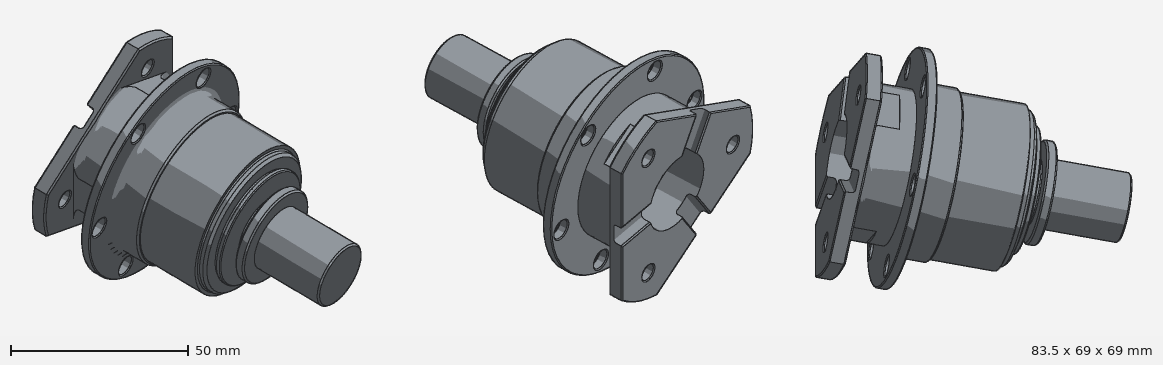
import cadquery as cq
import math

PLATE_BACK = 4.85
FLAT_END = 12.9
FLANGE_FACE = 17.6
FLANGE_BACK = 20.7
COLLAR_END = 30.7
BARREL_END = 50.3
SEAT_END = 52.7
LIP_START = 53.6
HOUSING_END = 54.95
RING_START = 57.45
RING_END = 60.5
SHAFT_END = 83.5

FLANGE_R = 69.0 / 2
PLATE_R = FLANGE_R
NECK_R = 45.0 / 2
COLLAR_R = 50.0 / 2
BARREL_R = 48.0 / 2
SEAT_R = 45.0 / 2
LIP_GROOVE_R = 35.8 / 2
LIP_R = 37.0 / 2
SHAFT_R = 20.0 / 2
RING_R = 30.0 / 2

SMALL_CHAMFER = 0.3
EDGE_CHAMFER = 0.5
COLLAR_CHAMFER = 0.6
SEAT_CHAMFER = 0.8
SEAT_CORNER = 0.4
NECK_FILLET = 2.0
COLLAR_FILLET = 1.9
SHAFT_RELIEF = 0.5

SIDES = 3
PLATE_FLAT_DISTANCE = 24.5
REAR_CHAMFER_REACH = 0.8
NECK_FLAT_DISTANCE = 21.5
BORE_R = 12.2
BORE_DEPTH = 12.7
SLOT_HALF_WIDTH = 3.4
SLOT_DEPTH = 3.0
SLOT_FLOOR_FILLET = 1.1
SLOT_MOUTH_CHAMFER = 0.4
PLATE_HOLE_CIRCLE_R = 25.3
PLATE_HOLE_R = 2.6

FLANGE_HOLES = 6
FLANGE_HOLE_CIRCLE_R = 30.1
FLANGE_HOLE_R = 3.0
FLANGE_HOLE_START_ANGLE = 6.3

CLEARANCE = 1.7
CUTTER_WIDTH = 2 * PLATE_R
ARC_MID = 1 - math.sqrt(0.5)


def turn(profile):
    """Revolve a closed (x, radius) profile about the X axis."""
    return profile.close().revolve(360, (0, 0, 0), (1, 0, 0))


def spin(body, angle):
    """Turn a cutter about the X axis; angles run from -Y (0 degrees) toward +Z (90 degrees)."""
    return body.rotate((0, 0, 0), (1, 0, 0), -angle)


def axial_cylinder(x_start, x_end, radius):
    return cq.Workplane("YZ", origin=(x_start, 0, 0)).circle(radius).extrude(x_end - x_start)


def countersunk_cutter(x_start, x_end, hole_radius, circle_radius, angle):
    """Through hole with a small countersink at both ends."""
    mouth = hole_radius + SMALL_CHAMFER
    profile = cq.Workplane("XY").polyline([
        (x_start, 0),
        (x_start, mouth),
        (x_start + SMALL_CHAMFER, hole_radius),
        (x_end - SMALL_CHAMFER, hole_radius),
        (x_end, mouth),
        (x_end, 0),
    ])
    return spin(turn(profile).translate((0, -circle_radius, 0)), angle)


def plate_flat_cutter(angle):
    """Trim one side of the plate flat, with chamfers; the rear one runs on into the neck fillet."""
    outside = PLATE_R + CLEARANCE
    rear_chamfer_start = PLATE_BACK - EDGE_CHAMFER
    profile = cq.Workplane("XY").polyline([
        (0, -outside),
        (0, -PLATE_FLAT_DISTANCE + SMALL_CHAMFER),
        (SMALL_CHAMFER, -PLATE_FLAT_DISTANCE),
        (rear_chamfer_start, -PLATE_FLAT_DISTANCE),
        (rear_chamfer_start + REAR_CHAMFER_REACH, -PLATE_FLAT_DISTANCE + REAR_CHAMFER_REACH),
        (rear_chamfer_start + REAR_CHAMFER_REACH, -outside),
    ]).close()
    return spin(profile.extrude(CUTTER_WIDTH / 2, both=True), angle)


def slot_cutter(angle):
    """Radial slot with chamfered mouth and rounded floor corners."""
    wall = SLOT_HALF_WIDTH
    mouth = wall + SLOT_MOUTH_CHAMFER
    floor = wall - SLOT_FLOOR_FILLET
    wall_end = SLOT_DEPTH - SLOT_FLOOR_FILLET
    arc_x = SLOT_DEPTH - SLOT_FLOOR_FILLET * ARC_MID
    arc_z = wall - SLOT_FLOOR_FILLET * ARC_MID
    profile = (
        cq.Workplane("XZ")
        .moveTo(0, mouth)
        .lineTo(SLOT_MOUTH_CHAMFER, wall)
        .lineTo(wall_end, wall)
        .threePointArc((arc_x, arc_z), (SLOT_DEPTH, floor))
        .lineTo(SLOT_DEPTH, -floor)
        .threePointArc((arc_x, -arc_z), (wall_end, -wall))
        .lineTo(SLOT_MOUTH_CHAMFER, -wall)
        .lineTo(0, -mouth)
        .close()
    )
    return spin(profile.extrude(PLATE_R), angle)


def neck_flat_cutter(angle):
    """Flat on the neck behind a plate hole."""
    length = FLAT_END - PLATE_BACK
    flat = cq.Workplane("XY").box(length, PLATE_R, CUTTER_WIDTH, centered=(False, False, True))
    return spin(flat.translate((PLATE_BACK, -NECK_FLAT_DISTANCE - PLATE_R, 0)), angle)


def make_drive_plate():
    fillet_mid = NECK_FILLET * ARC_MID
    plate = turn(
        cq.Workplane("XY")
        .moveTo(0, 0)
        .lineTo(0, PLATE_R - SMALL_CHAMFER)
        .lineTo(SMALL_CHAMFER, PLATE_R)
        .lineTo(PLATE_BACK - EDGE_CHAMFER, PLATE_R)
        .lineTo(PLATE_BACK, PLATE_R - EDGE_CHAMFER)
        .lineTo(PLATE_BACK, NECK_R + NECK_FILLET)
        .threePointArc((PLATE_BACK + fillet_mid, NECK_R + fillet_mid), (PLATE_BACK + NECK_FILLET, NECK_R))
        .lineTo(FLANGE_FACE, NECK_R)
        .lineTo(FLANGE_FACE, 0)
    )
    plate = plate.cut(axial_cylinder(0, BORE_DEPTH, BORE_R))
    for side in range(SIDES):
        lobe_angle = side * 360 / SIDES
        flat_angle = lobe_angle + 180 / SIDES
        plate = plate.cut(plate_flat_cutter(flat_angle))
        plate = plate.cut(slot_cutter(flat_angle))
        plate = plate.cut(neck_flat_cutter(lobe_angle))
        plate = plate.cut(countersunk_cutter(0, PLATE_BACK, PLATE_HOLE_R, PLATE_HOLE_CIRCLE_R, lobe_angle))
    return plate


def make_housing():
    fillet_mid = COLLAR_FILLET * ARC_MID
    chamfer_start = SEAT_END - SEAT_CHAMFER
    housing = turn(
        cq.Workplane("XY")
        .moveTo(FLANGE_FACE, 0)
        .lineTo(FLANGE_FACE, FLANGE_R - SMALL_CHAMFER)
        .lineTo(FLANGE_FACE + SMALL_CHAMFER, FLANGE_R)
        .lineTo(FLANGE_BACK - SMALL_CHAMFER, FLANGE_R)
        .lineTo(FLANGE_BACK, FLANGE_R - SMALL_CHAMFER)
        .lineTo(FLANGE_BACK, COLLAR_R + COLLAR_FILLET)
        .threePointArc(
            (FLANGE_BACK + fillet_mid, COLLAR_R + fillet_mid),
            (FLANGE_BACK + COLLAR_FILLET, COLLAR_R),
        )
        .lineTo(COLLAR_END - COLLAR_CHAMFER, COLLAR_R)
        .lineTo(COLLAR_END, COLLAR_R - COLLAR_CHAMFER)
        .lineTo(COLLAR_END, BARREL_R)
        .lineTo(BARREL_END, BARREL_R)
        .lineTo(BARREL_END, SEAT_R + SEAT_CORNER)
        .lineTo(BARREL_END + SEAT_CORNER, SEAT_R)
        .lineTo(chamfer_start, SEAT_R)
        .lineTo(SEAT_END, SEAT_R - SEAT_CHAMFER)
        .lineTo(SEAT_END, LIP_GROOVE_R)
        .lineTo(LIP_START, LIP_GROOVE_R)
        .lineTo(LIP_START, LIP_R)
        .lineTo(HOUSING_END - SMALL_CHAMFER, LIP_R)
        .lineTo(HOUSING_END, LIP_R - SMALL_CHAMFER)
        .lineTo(HOUSING_END, 0)
    )
    for hole in range(FLANGE_HOLES):
        angle = FLANGE_HOLE_START_ANGLE + hole * 360 / FLANGE_HOLES
        housing = housing.cut(
            countersunk_cutter(FLANGE_FACE, FLANGE_BACK, FLANGE_HOLE_R, FLANGE_HOLE_CIRCLE_R, angle)
        )
    return housing


def make_shaft():
    return turn(
        cq.Workplane("XY")
        .moveTo(HOUSING_END, 0)
        .lineTo(HOUSING_END, SHAFT_R)
        .lineTo(RING_START - SHAFT_RELIEF, SHAFT_R)
        .lineTo(RING_START, SHAFT_R - SHAFT_RELIEF)
        .lineTo(RING_START, RING_R - EDGE_CHAMFER)
        .lineTo(RING_START + EDGE_CHAMFER, RING_R)
        .lineTo(RING_END - EDGE_CHAMFER, RING_R)
        .lineTo(RING_END, RING_R - EDGE_CHAMFER)
        .lineTo(RING_END, SHAFT_R)
        .lineTo(SHAFT_END - EDGE_CHAMFER, SHAFT_R)
        .lineTo(SHAFT_END, SHAFT_R - EDGE_CHAMFER)
        .lineTo(SHAFT_END, 0)
    )


drive_plate = make_drive_plate()
housing = make_housing()
shaft = make_shaft()

result = cq.Compound.makeCompound([drive_plate.val(), housing.val(), shaft.val()])